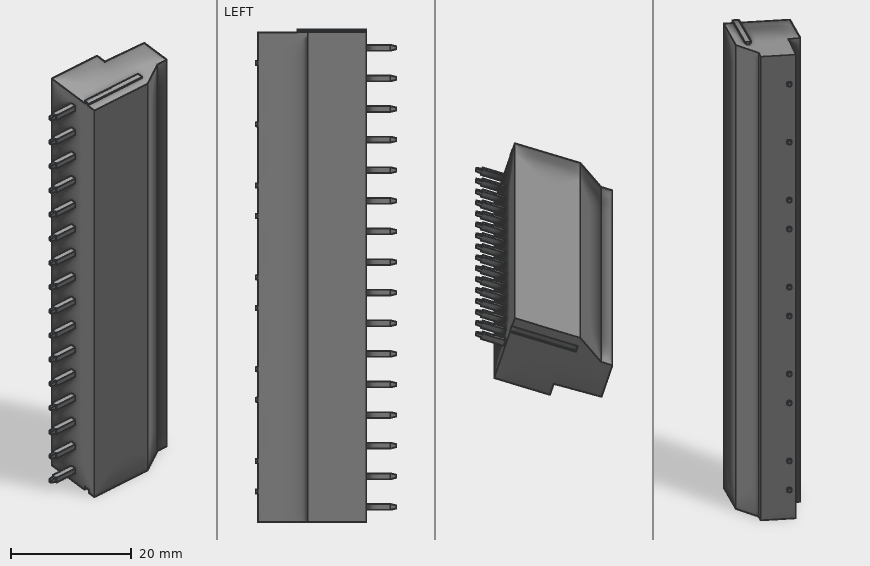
import cadquery as cq

pole_count = 16
pitch = 5.08
housing_height = pole_count * pitch
width = 11.2
depth = 18.0

step_depth = 9.75
step_inner_x = 2.05
top_left_x = 2.3
top_right_x = 8.2
slope_top_depth = depth - 2.0
slope_bottom_depth = depth - 6.6

pin_x = 5.7
pin_size = 1.0
pin_length = 5.0
tip_width = 0.5
tip_end_height = 0.5
tip_length = 1.0

rail_x = 9.15
rail_height = 0.5
rail_root_width = 0.5
rail_neck_width = 0.65
rail_lip_width = 1.1
rail_lip_height = 0.2
rail_length = 11.5
groove_width = 1.1
groove_depth = 0.6

nub_x = 3.4
nub_diameter = 0.85
nub_height = 0.4
nub_draft_angle = 12
nub_poles_from_top = (1, 3, 5, 6, 8, 9, 11, 12, 14, 15)


def make_housing():
    outline = [
        (0, 0),
        (width, 0),
        (width, slope_bottom_depth),
        (top_right_x, slope_top_depth),
        (top_right_x, depth),
        (top_left_x, depth),
        (step_inner_x, step_depth),
        (0, step_depth),
    ]
    return cq.Workplane("XY").polyline(outline).close().extrude(housing_height)


def make_rail():
    """Rail with a flat lip on a stem that narrows down to its root."""
    stem_top_z = housing_height + rail_height - rail_lip_height
    section = [
        (rail_x - rail_root_width / 2, housing_height),
        (rail_x + rail_root_width / 2, housing_height),
        (rail_x + rail_neck_width / 2, stem_top_z),
        (rail_x - rail_neck_width / 2, stem_top_z),
    ]
    stem = cq.Workplane("XZ").polyline(section).close().extrude(-rail_length)
    lip_corner = (rail_x - rail_lip_width / 2, 0, stem_top_z)
    lip_plane = cq.Workplane("XY", origin=lip_corner)
    lip = lip_plane.box(rail_lip_width, rail_length, rail_lip_height, centered=False)
    return stem.union(lip)


def make_groove():
    """Straight groove in the lower end, open towards the pins."""
    corner = (rail_x - groove_width / 2, 0, 0)
    return cq.Workplane("XY", origin=corner).box(groove_width, rail_length, groove_depth, centered=False)


def make_pin(pin_z):
    shank_length = pin_length - tip_length
    pin_base = cq.Workplane("XZ", origin=(pin_x, 0, pin_z))
    shank = pin_base.rect(pin_size, pin_size).extrude(shank_length)
    tip_outline = [
        (-shank_length, -pin_size / 2),
        (-pin_length, -tip_end_height / 2),
        (-pin_length, tip_end_height / 2),
        (-shank_length, pin_size / 2),
    ]
    tip_plane = cq.Workplane("YZ", origin=(pin_x, 0, pin_z))
    tip = tip_plane.polyline(tip_outline).close().extrude(tip_width / 2, both=True)
    return shank.union(tip)


def make_nub(nub_z):
    nub_base = cq.Workplane("XZ", origin=(nub_x, depth, nub_z))
    return nub_base.circle(nub_diameter / 2).extrude(-nub_height, taper=nub_draft_angle)


result = make_housing()
result = result.union(make_rail())
result = result.cut(make_groove())

for pole in range(pole_count):
    result = result.union(make_pin((pole + 0.5) * pitch))

for poles_down in nub_poles_from_top:
    result = result.union(make_nub(housing_height - poles_down * pitch))